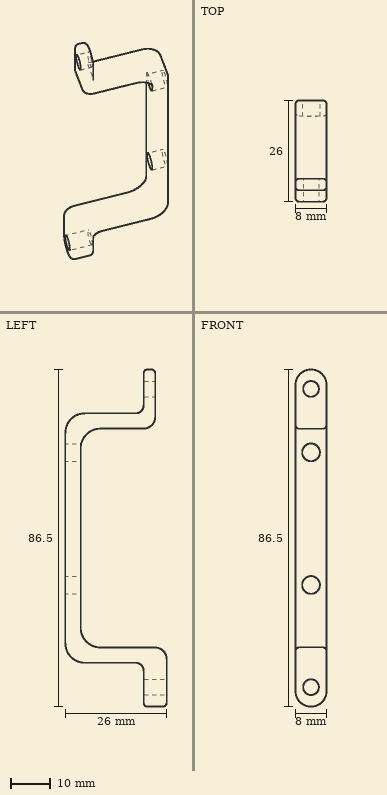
import cadquery as cq

width = 8.0
depth = 26.0
height = 86.5

bar_thickness = 4.0
upper_tab_thickness = 3.0
lower_tab_thickness = 6.0
tab_length = 11.2

main_bend_radius = 5.0
tab_inner_radius = 2.0
tab_outer_radius = 3.0
edge_radius = 1.0

tab_hole_diameter = 4.0
tab_hole_inset = 5.0
grip_hole_diameter = 4.5
upper_grip_hole_z = 22.0
grip_hole_spacing = 34.0

top = height / 2
arm_outer = top - tab_length
arm_inner = arm_outer - bar_thickness
grip_front = depth - bar_thickness
tab_rear = lower_tab_thickness
upper_tab_front = tab_rear - upper_tab_thickness


def bar_through_y(sketch):
    """Extrude a sketch on the XZ plane through the whole depth."""
    return sketch.extrude(-depth)


def round_bends(body, radius, corners):
    """Round the X-parallel edges that pass through the given (y, z) corners."""
    for y, z in corners:
        edge = cq.selectors.NearestToPointSelector((0, y, z))
        body = body.edges("|X").edges(edge).fillet(radius)
    return body


def make_bent_bar():
    """Side profile of the handle, extruded across its width, with rounded bends."""
    profile = [
        (upper_tab_front, top),
        (tab_rear, top),
        (tab_rear, arm_outer),
        (depth, arm_outer),
        (depth, -arm_outer),
        (tab_rear, -arm_outer),
        (tab_rear, -top),
        (0, -top),
        (0, -arm_inner),
        (grip_front, -arm_inner),
        (grip_front, arm_inner),
        (upper_tab_front, arm_inner),
    ]
    body = cq.Workplane("YZ").polyline(profile).close().extrude(width / 2, both=True)
    for side in (1, -1):
        main_corners = [(depth, side * arm_outer), (grip_front, side * arm_inner)]
        body = round_bends(body, main_bend_radius, main_corners)
        body = round_bends(body, tab_inner_radius, [(tab_rear, side * arm_outer)])
    outer_corners = [(upper_tab_front, arm_inner), (0, -arm_inner)]
    return round_bends(body, tab_outer_radius, outer_corners)


def round_tab_ends(body):
    """Trim both tab ends to full half-circles."""
    return body.intersect(bar_through_y(cq.Workplane("XZ").slot2D(height, width, 90)))


def drill_holes(body):
    """Drill the tab holes and the grip holes straight through along Y."""
    tab_hole_z = top - tab_hole_inset
    tab_points = [(0, tab_hole_z), (0, -tab_hole_z)]
    grip_points = [(0, upper_grip_hole_z), (0, upper_grip_hole_z - grip_hole_spacing)]
    for diameter, points in ((tab_hole_diameter, tab_points), (grip_hole_diameter, grip_points)):
        holes = cq.Workplane("XZ").pushPoints(points).circle(diameter / 2)
        body = body.cut(bar_through_y(holes))
    return body


handle = round_tab_ends(make_bent_bar())
handle = handle.edges("not(|X)").edges("not(|Y)").fillet(edge_radius)
result = drill_holes(handle)